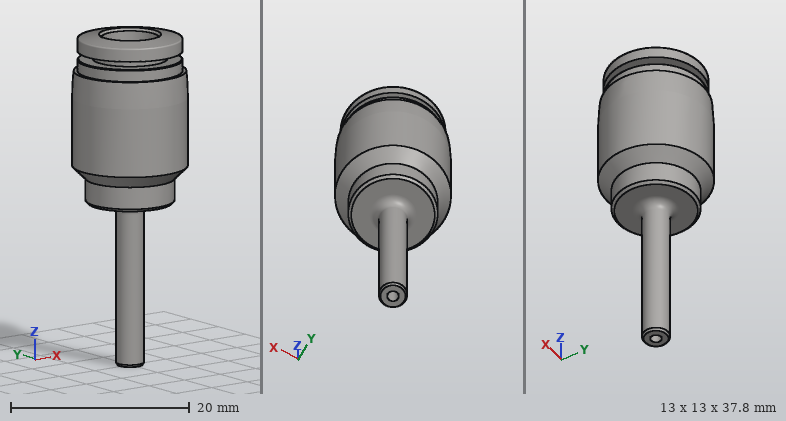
import cadquery as cq
import math

stem_radius = 3.18 / 2
tip_chamfer_height = 0.3
tip_chamfer_width = 0.2
root_fillet = 1.02

spigot_radius = 10.0 / 2
spigot_bottom = 18.52
spigot_chamfer = 0.35
cone_bottom = 21.35
cone_top = 22.85
body_radius = 13.0 / 2
crown_start = 30.6
body_top = 33.65
body_top_radius = 6.3

collar_radius = 11.8 / 2
collar_top = 35.0
collar_chamfer = 0.1
neck_radius = 8.35 / 2
neck_flare = 0.3
ring_bottom = 35.9
ring_edge_round = 0.2
ring_face_edge = 37.42
total_height = 37.8

socket_radius = 6.35 / 2
socket_chamfer = 0.3
socket_bottom = cone_top
through_hole_radius = 1.3 / 2

QUARTER_ARC = 1 - math.sqrt(0.5)

crown_height = body_top - crown_start
crown_inset = body_radius - body_top_radius
crown_arc_radius = (crown_height**2 + crown_inset**2) / (2 * crown_inset)
crown_mid_height = crown_height / 2
crown_mid_radius = body_radius - crown_arc_radius + math.sqrt(crown_arc_radius**2 - crown_mid_height**2)


def make_profile():
    """Closed half section, with X as radius and Y as height."""
    root_inset = root_fillet * QUARTER_ARC
    edge_inset = ring_edge_round * QUARTER_ARC
    return (
        cq.Workplane("XZ")
        .moveTo(through_hole_radius, 0)
        .lineTo(stem_radius - tip_chamfer_width, 0)
        .lineTo(stem_radius, tip_chamfer_height)
        .lineTo(stem_radius, spigot_bottom - root_fillet)
        .threePointArc(
            (stem_radius + root_inset, spigot_bottom - root_inset),
            (stem_radius + root_fillet, spigot_bottom),
        )
        .lineTo(spigot_radius - spigot_chamfer, spigot_bottom)
        .lineTo(spigot_radius, spigot_bottom + spigot_chamfer)
        .lineTo(spigot_radius, cone_bottom)
        .lineTo(body_radius, cone_top)
        .lineTo(body_radius, crown_start)
        .threePointArc(
            (crown_mid_radius, crown_start + crown_mid_height),
            (body_top_radius, body_top),
        )
        .lineTo(collar_radius, body_top)
        .lineTo(collar_radius, collar_top - collar_chamfer)
        .lineTo(collar_radius - collar_chamfer, collar_top)
        .lineTo(neck_radius, collar_top)
        .lineTo(neck_radius, ring_bottom - neck_flare)
        .lineTo(neck_radius + neck_flare, ring_bottom)
        .lineTo(collar_radius, ring_bottom)
        .lineTo(collar_radius, ring_face_edge - ring_edge_round)
        .threePointArc(
            (collar_radius - edge_inset, ring_face_edge - edge_inset),
            (collar_radius - ring_edge_round, ring_face_edge),
        )
        .lineTo(socket_radius + socket_chamfer, total_height)
        .lineTo(socket_radius, total_height - socket_chamfer)
        .lineTo(socket_radius, socket_bottom)
        .lineTo(through_hole_radius, socket_bottom)
        .close()
    )


result = make_profile().revolve(360, (0, 0, 0), (0, 1, 0))